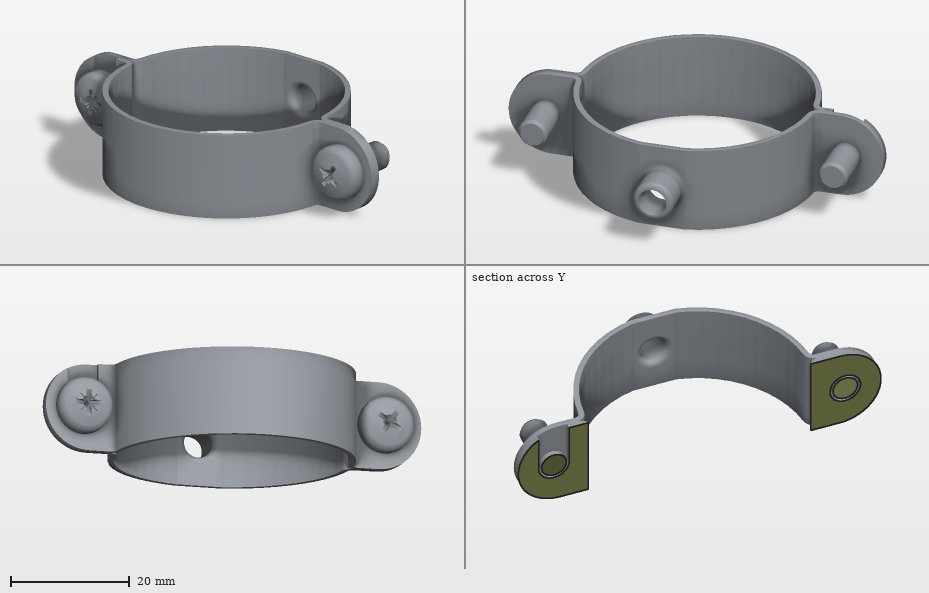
import cadquery as cq
import math


overall_length = 66.0
band_width = 15.05
strip_thickness = 1.0
ring_outer_radius = 21.0
ring_inner_radius = ring_outer_radius - strip_thickness
bend_inner_radius = 1.0
bend_outer_radius = bend_inner_radius + strip_thickness
crown_outer_y = 20.6
crown_inner_y = crown_outer_y - strip_thickness

boss_top = 26.5
boss_radius = 7.0 / 2
boss_hole_radius = 4.9 / 2
boss_root_fillet = 1.0
boss_rim_fillet = 1.0
boss_mouth_fillet = boss_radius - boss_hole_radius

screw_offset = 26.45
clearance_diameter = 5.5
shank_radius = 5.0 / 2
neck_radius = 4.55 / 2
shank_tip_radius = 4.15 / 2
shank_tip_length = 0.6
shank_length = 9.0
head_radius = 4.75
head_rim_height = 1.4
head_height = 3.75
head_shoulder_radius = 1.6

recess_half_length = 2.85
recess_arm_width = 0.85
recess_arm_depth = 1.7
recess_core_radius = 1.25
recess_core_depth = 2.4
tick_half_length = 2.05
tick_width = 0.1
tick_depth = 1.0
phillips_turn = 33.5

seat_y = -strip_thickness
apex_y = seat_y - head_height

bend_center_y = strip_thickness + bend_inner_radius
bend_center_x = math.sqrt((ring_outer_radius + bend_inner_radius) ** 2 - bend_center_y ** 2)
bend_tangent_angle = math.atan2(bend_center_y, bend_center_x)
bend_middle_angle = (math.pi / 2 + bend_tangent_angle) / 2


def polar(radius, angle):
    return (radius * math.cos(angle), radius * math.sin(angle))


def revolve_about_y(profile):
    return profile.close().revolve(360, (0, 0, 0), (0, 1, 0))


def turn_on_axis(body, angle):
    return body.rotate((0, 0, 0), (0, 1, 0), angle)


def bend_middle(radius):
    """Middle point of a bend arc of the given radius."""
    x, y = polar(radius, bend_middle_angle)
    return (bend_center_x - x, bend_center_y - y)


def crown_corner(ring_radius, crown_y):
    """Where the ring meets the flat on the crown, as an angle seen from the pipe axis."""
    return math.asin(crown_y / ring_radius)


def strip_outline(has_crown):
    """Outline of the right-hand half of the strip, lying on the +Y side of the parting plane."""
    outer_end = crown_corner(ring_outer_radius, crown_outer_y) if has_crown else math.pi / 2
    inner_end = crown_corner(ring_inner_radius, crown_inner_y) if has_crown else math.pi / 2
    outer_middle = (bend_tangent_angle + outer_end) / 2
    inner_middle = (bend_tangent_angle + inner_end) / 2
    lug_end = overall_length / 2

    outline = (
        cq.Workplane("XY", origin=(0, 0, -band_width / 2))
        .moveTo(lug_end, 0)
        .lineTo(lug_end, strip_thickness)
        .lineTo(bend_center_x, strip_thickness)
        .threePointArc(bend_middle(bend_inner_radius), polar(ring_outer_radius, bend_tangent_angle))
        .threePointArc(polar(ring_outer_radius, outer_middle), polar(ring_outer_radius, outer_end))
    )
    if has_crown:
        outline = outline.lineTo(0, crown_outer_y).lineTo(0, crown_inner_y)
    return (
        outline.lineTo(*polar(ring_inner_radius, inner_end))
        .threePointArc(polar(ring_inner_radius, inner_middle), polar(ring_inner_radius, bend_tangent_angle))
        .threePointArc(bend_middle(bend_outer_radius), (bend_center_x, 0))
        .close()
    )


def clamp_strip(has_crown):
    """Bent strip on the +Y side of the parting plane, with fully rounded lug ends."""
    right_side = strip_outline(has_crown).extrude(band_width)
    strip = right_side.union(right_side.mirror("YZ"))
    rounded_blank = cq.Workplane("XZ").slot2D(overall_length, band_width).extrude(ring_outer_radius, both=True)
    return strip.intersect(rounded_blank)


def lug_holes(diameter):
    """Cutters through the lugs on both screw axes."""
    return (
        cq.Workplane("XZ")
        .pushPoints([(-screw_offset, 0), (screw_offset, 0)])
        .circle(diameter / 2)
        .extrude(bend_center_y, both=True)
    )


def head_seats():
    """Cutters that spot-face the lower bends where the screw heads reach them."""
    return (
        cq.Workplane("XZ", origin=(0, seat_y, 0))
        .pushPoints([(-screw_offset, 0), (screw_offset, 0)])
        .circle(head_radius)
        .extrude(head_rim_height)
    )


def boss_body():
    """Solid boss with a flared root and a rounded rim, rooted in the crown wall."""
    flare_radius = boss_radius + boss_root_fillet
    profile = (
        cq.Workplane("XY")
        .moveTo(0, crown_inner_y)
        .lineTo(flare_radius, crown_inner_y)
        .lineTo(flare_radius, crown_outer_y)
        .radiusArc((boss_radius, crown_outer_y + boss_root_fillet), boss_root_fillet)
        .lineTo(boss_radius, boss_top - boss_rim_fillet)
        .radiusArc((boss_radius - boss_rim_fillet, boss_top), -boss_rim_fillet)
        .lineTo(0, boss_top)
    )
    return revolve_about_y(profile)


def boss_bore():
    """Through bore with a rounded mouth on the inside of the crown."""
    profile = (
        cq.Workplane("XY")
        .moveTo(0, crown_inner_y)
        .lineTo(boss_hole_radius + boss_mouth_fillet, crown_inner_y)
        .radiusArc((boss_hole_radius, crown_inner_y + boss_mouth_fillet), boss_mouth_fillet)
        .lineTo(boss_hole_radius, boss_top)
        .lineTo(0, boss_top)
    )
    return revolve_about_y(profile)


def upper_clamp():
    strip = clamp_strip(has_crown=True).cut(lug_holes(2 * shank_radius))
    return strip.union(boss_body()).cut(boss_bore())


def lower_clamp():
    """Plain round half whose left lug hole is a slot open to +Z."""
    slot_height = band_width / 2
    open_slot = cq.Workplane("XY").box(clearance_diameter, 2 * bend_center_y, slot_height, (True, True, False))
    strip = clamp_strip(has_crown=False).mirror("XZ")
    strip = strip.cut(lug_holes(clearance_diameter)).cut(head_seats())
    return strip.cut(open_slot.translate((-screw_offset, 0, 0)))


def screw_blank():
    """Pan-head screw on the Y axis, its head seated against the outside of the lower lug."""
    shoulder_center = head_radius - head_shoulder_radius
    dome_rise = head_height - head_rim_height
    dome_radius = (shoulder_center ** 2 + dome_rise ** 2 - head_shoulder_radius ** 2) / (
        2 * (dome_rise - head_shoulder_radius)
    )
    dome_half_angle = math.asin(shoulder_center / (dome_radius - head_shoulder_radius))
    dome_edge = (
        dome_radius * math.sin(dome_half_angle),
        apex_y + dome_radius * (1 - math.cos(dome_half_angle)),
    )
    profile = (
        cq.Workplane("XY")
        .moveTo(0, shank_length)
        .lineTo(shank_tip_radius, shank_length)
        .lineTo(shank_radius, shank_length - shank_tip_length)
        .lineTo(shank_radius, 0)
        .lineTo(neck_radius, 0)
        .lineTo(neck_radius, seat_y)
        .lineTo(head_radius, seat_y)
        .lineTo(head_radius, seat_y - head_rim_height)
        .radiusArc(dome_edge, head_shoulder_radius)
        .radiusArc((0, apex_y), dome_radius)
    )
    return revolve_about_y(profile)


def cross_recess():
    """Four tapered arms running into a conical core, opening at the apex of the head."""
    arm_pair = (
        cq.Workplane("XY")
        .moveTo(-recess_half_length, apex_y)
        .lineTo(0, apex_y + recess_arm_depth)
        .lineTo(recess_half_length, apex_y)
        .close()
        .extrude(recess_arm_width / 2, both=True)
    )
    core_profile = (
        cq.Workplane("XY")
        .moveTo(0, apex_y)
        .lineTo(recess_core_radius, apex_y)
        .lineTo(0, apex_y + recess_core_depth)
    )
    return arm_pair.union(turn_on_axis(arm_pair, 90)).union(revolve_about_y(core_profile))


def pozidriv_recess():
    """Cross recess with thin diagonal ticks between its arms."""
    tick_pair = (
        cq.Workplane("XY", origin=(0, apex_y, 0))
        .box(2 * tick_half_length, tick_depth, tick_width, (True, False, True))
    )
    recess = cross_recess()
    for angle in (45, 135):
        recess = recess.union(turn_on_axis(tick_pair, angle))
    return recess


def screw(recess, x):
    return screw_blank().cut(recess).translate((x, 0, 0))


upper_half = upper_clamp()
lower_half = lower_clamp()
pozidriv_screw = screw(pozidriv_recess(), -screw_offset)
phillips_screw = screw(turn_on_axis(cross_recess(), phillips_turn), screw_offset)

result = cq.Compound.makeCompound(
    [
        upper_half.solids().val(),
        lower_half.solids().val(),
        pozidriv_screw.solids().val(),
        phillips_screw.solids().val(),
    ]
)